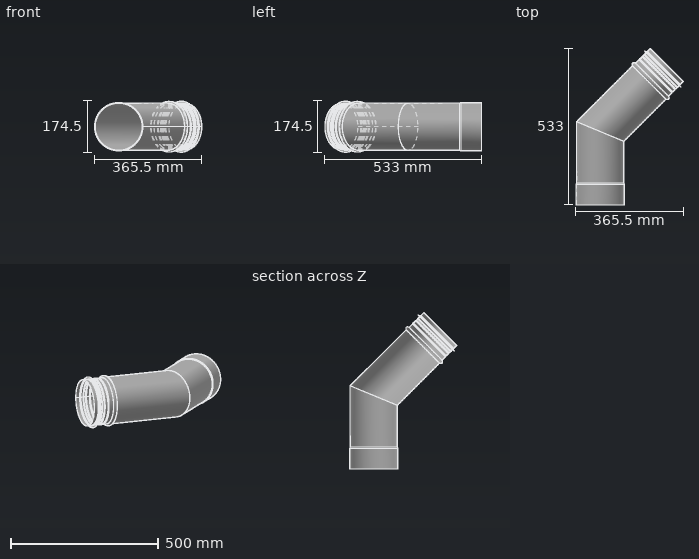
import cadquery as cq
BEND_ANGLE = 45.0
WALL = 1.0
PIPE_RADIUS = 161.5 / 2

SOCKET_RADIUS = 165.0 / 2
SOCKET_LENGTH = 70.5
SOCKET_TAPER = 4.5
SOCKET_PIPE_LENGTH = 250.0

SPIGOT_RADIUS = 159.5 / 2
SPIGOT_PIPE_LENGTH = 320.5
GROOVE_RADIUS = 157.0 / 2
GROOVE_TAPER = 1.5
OUTER_GROOVE = (14.5, 30.5)
INNER_GROOVE = (36.5, 55.0)
BEAD_DEPTH = 78.0
BEAD_WIDTH = 13.5
BEAD_RADIUS = 173.5 / 2
SEAM_GAP = 0.1

SEAL_RADIUS = 160.5 / 2
SEAL_CHAMFER = 1.0
LIP_RADIUS = 174.5 / 2
LIP_DEPTH = 20.0
LIP_THICKNESS = 0.5
INNER_SEAL = (40.0, 50.5)

MITRE_ANGLE = BEND_ANGLE / 2
OVERRUN = SOCKET_RADIUS


def revolve_about_y(profile):
    return profile.close().revolve(360, (0, 0, 0), (0, 1, 0))


def mitre_half_space(side):
    """A block on one side (+1 or -1 along Y) of a plane through the origin, tilted for the mitre."""
    size = 4 * SPIGOT_PIPE_LENGTH
    block = cq.Workplane("XY").box(size, size, size).translate((0, side * size / 2, 0))
    return block.rotate((0, 0, 0), (0, 0, 1), side * MITRE_ANGLE)


def make_socket_pipe():
    """Straight pipe widened at its open end; axis on Y, mitre centre at the origin."""
    mouth = -SOCKET_PIPE_LENGTH
    taper_start = mouth + SOCKET_LENGTH
    taper_end = taper_start + SOCKET_TAPER
    outer = [
        (SOCKET_RADIUS, mouth),
        (SOCKET_RADIUS, taper_start),
        (PIPE_RADIUS, taper_end),
        (PIPE_RADIUS, OVERRUN),
    ]
    inner = [(radius - WALL, y) for radius, y in reversed(outer)]
    pipe = revolve_about_y(cq.Workplane("XY").polyline(outer + inner))
    return pipe.intersect(mitre_half_space(-1))


def at_depth(depth):
    """Y of a point at the given depth below the spigot's open end."""
    return SPIGOT_PIPE_LENGTH - depth


def groove_points(groove):
    start, end = groove
    return [
        (SPIGOT_RADIUS, at_depth(start)),
        (GROOVE_RADIUS, at_depth(start + GROOVE_TAPER)),
        (GROOVE_RADIUS, at_depth(end - GROOVE_TAPER)),
        (SPIGOT_RADIUS, at_depth(end)),
    ]


def seam_cutter():
    """Thin block that opens the pipe wall along its whole length, on the inside of the bend."""
    size = (LIP_RADIUS, 3 * SPIGOT_PIPE_LENGTH, SEAM_GAP)
    return cq.Workplane("XY").box(*size).translate((LIP_RADIUS / 2, 0, SEAM_GAP / 2))


def make_spigot_pipe():
    """Straight pipe with a stop bead and two seal grooves; axis on Y, mitre centre at the origin."""
    bead_top = at_depth(BEAD_DEPTH - BEAD_WIDTH / 2)
    bead_middle = at_depth(BEAD_DEPTH)
    bead_bottom = at_depth(BEAD_DEPTH + BEAD_WIDTH / 2)
    outer = [(SPIGOT_RADIUS, at_depth(0)), *groove_points(OUTER_GROOVE), *groove_points(INNER_GROOVE)]
    outer.append((SPIGOT_RADIUS, bead_top))
    inner = [(radius - WALL, y) for radius, y in reversed(outer)]
    profile = (
        cq.Workplane("XY")
        .polyline(outer)
        .threePointArc((BEAD_RADIUS, bead_middle), (PIPE_RADIUS, bead_bottom))
        .lineTo(PIPE_RADIUS, -OVERRUN)
        .lineTo(PIPE_RADIUS - WALL, -OVERRUN)
        .lineTo(PIPE_RADIUS - WALL, bead_bottom)
        .threePointArc((BEAD_RADIUS - WALL, bead_middle), inner[0])
    )
    for point in inner[1:]:
        profile = profile.lineTo(*point)
    return revolve_about_y(profile).intersect(mitre_half_space(1)).cut(seam_cutter())


def make_lip_seal():
    """Ring with bevelled ends and a thin lip, in the groove nearest the open end."""
    top = OUTER_GROOVE[0] + GROOVE_TAPER
    bottom = OUTER_GROOVE[1] - GROOVE_TAPER
    points = [
        (GROOVE_RADIUS, at_depth(top)),
        (SEAL_RADIUS, at_depth(top + SEAL_CHAMFER)),
        (SEAL_RADIUS, at_depth(LIP_DEPTH)),
        (LIP_RADIUS, at_depth(LIP_DEPTH)),
        (LIP_RADIUS, at_depth(LIP_DEPTH + LIP_THICKNESS)),
        (SEAL_RADIUS, at_depth(LIP_DEPTH + LIP_THICKNESS)),
        (SEAL_RADIUS, at_depth(bottom - SEAL_CHAMFER)),
        (GROOVE_RADIUS, at_depth(bottom)),
    ]
    return revolve_about_y(cq.Workplane("XY").polyline(points))


def make_plain_seal():
    """Ring of rectangular section in the groove nearest the bead."""
    top, bottom = INNER_SEAL
    points = [
        (GROOVE_RADIUS, at_depth(top)),
        (SEAL_RADIUS, at_depth(top)),
        (SEAL_RADIUS, at_depth(bottom)),
        (GROOVE_RADIUS, at_depth(bottom)),
    ]
    return revolve_about_y(cq.Workplane("XY").polyline(points))


def bend(body):
    """Turn a body on the spigot axis into its place after the bend."""
    return body.rotate((0, 0, 0), (0, 0, 1), -BEND_ANGLE)


socket_pipe = make_socket_pipe()
spigot_pipe = bend(make_spigot_pipe())
lip_seal = bend(make_lip_seal())
plain_seal = bend(make_plain_seal())

result = cq.Compound.makeCompound(
    [socket_pipe.val(), spigot_pipe.val(), lip_seal.val(), plain_seal.val()]
)